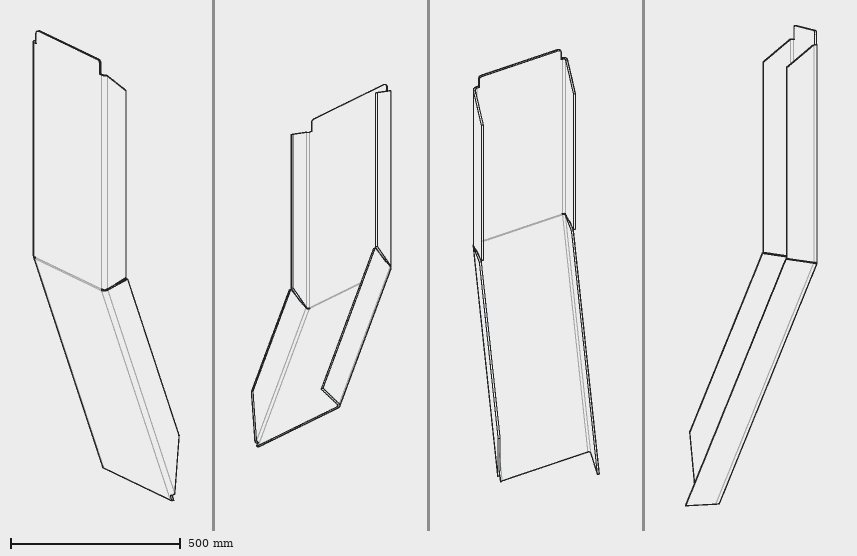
import cadquery as cq
import math


THICKNESS = 6.0
BEND_RADIUS = 13.0
WIDTH = 289.2
FLANGE_HEIGHT = 95.0

SKEW_ANGLE = 9.6
FOLD_ANGLE = 22.75

UPPER_LENGTH = 704.0
TAB_HEIGHT = 42.0
TAB_SETBACK_LEFT = 17.0
TAB_SETBACK_RIGHT = 20.0
TAB_CORNER_RADIUS = 10.0
UPPER_TRIM_ANGLE = 38.0

LOWER_LENGTH = 772.2
RIGHT_NOTCH_HEIGHT = 20.0
RIGHT_NOTCH_WIDTH = 8.0
RIGHT_TRIM_ANGLE = 62.5

REACH = 2000.0

SKEW = math.radians(SKEW_ANGLE)
FOLD = math.radians(FOLD_ANGLE)
INNER_RADIUS = BEND_RADIUS - THICKNESS
FOLD_SETBACK = BEND_RADIUS * math.tan(FOLD / 2)
FLAT_WEB_WIDTH = WIDTH - 2 * BEND_RADIUS
FOLD_AXIS = (math.cos(SKEW), 0, -math.sin(SKEW))
FOLD_PLANE = cq.Plane(origin=(0, 0, 0), xDir=(0, 1, 0), normal=FOLD_AXIS)
END_PLANE = cq.Plane(origin=(0, 0, -LOWER_LENGTH), xDir=(0, 1, 0), normal=FOLD_AXIS)


def drop(x):
    """Fall of a web end at distance x from the left edge."""
    return x * math.tan(SKEW)


def slope(run, angle_degrees):
    """Rise over a run at the given angle."""
    return run * math.tan(math.radians(angle_degrees))


def long_prism(plane, points):
    """Prism square to the plane, reaching far past both sides of the part."""
    return cq.Workplane(plane).polyline(points).close().extrude(REACH, both=True)


def across_x(points, x_start, x_end):
    """Prism along X from an outline of (y, z) points."""
    section = cq.Workplane("YZ").workplane(offset=x_start).polyline(points).close()
    return section.extrude(x_end - x_start)


def rounded_core(width, web_offset, radius):
    """Solid block filling a channel, rounded where the web turns into the flanges."""
    depth = FLANGE_HEIGHT - web_offset
    block = cq.Workplane("XY").box(width, depth, 2 * REACH, centered=(True, False, True))
    return block.edges("|Z and <Y").fillet(radius).translate((WIDTH / 2, web_offset, 0))


def long_channel():
    outer = rounded_core(WIDTH, 0, BEND_RADIUS)
    return outer.cut(rounded_core(WIDTH - 2 * THICKNESS, THICKNESS, INNER_RADIUS))


def leg_blank(channel, side):
    """Half of the channel: side is +1 above the fold and -1 below it.

    The web stops at the fold bend and the flange ends run parallel to the mitre.
    """
    flange_end = FOLD_SETBACK + (REACH - THICKNESS) * math.tan(FOLD / 2)
    keep = [
        (-REACH, side * FOLD_SETBACK),
        (THICKNESS, side * FOLD_SETBACK),
        (REACH, side * flange_end),
        (REACH, side * REACH),
        (-REACH, side * REACH),
    ]
    return channel.intersect(long_prism(FOLD_PLANE, keep))


def upper_leg(channel):
    """Upper leg with a rounded tab on its web and sloped flange tops."""
    leg = leg_blank(channel, 1)
    left = TAB_SETBACK_LEFT
    right = WIDTH - TAB_SETBACK_RIGHT
    tab_top = [
        (left, UPPER_LENGTH - drop(left)),
        (right, UPPER_LENGTH - drop(right)),
    ]
    tab = long_prism("XZ", [(left, -REACH)] + tab_top + [(right, -REACH)])
    for x, z in tab_top:
        tab = tab.edges(cq.selectors.NearestToPointSelector((x, 0, z))).fillet(TAB_CORNER_RADIUS)

    shoulder = UPPER_LENGTH - TAB_HEIGHT
    right_shoulder = shoulder - drop(WIDTH)
    web_body = long_prism("XZ", [
        (0, -REACH), (0, shoulder), (WIDTH, right_shoulder), (WIDTH, -REACH),
    ])
    leg = leg.intersect(tab.union(web_body))

    trim_fall = slope(FLANGE_HEIGHT - BEND_RADIUS, UPPER_TRIM_ANGLE)
    for x_start, x_end, z in (
        (0, WIDTH / 2, shoulder),
        (WIDTH / 2, WIDTH, right_shoulder),
    ):
        trim = [
            (BEND_RADIUS, z),
            (FLANGE_HEIGHT, z - trim_fall),
            (FLANGE_HEIGHT, REACH),
            (BEND_RADIUS, REACH),
        ]
        leg = leg.cut(across_x(trim, x_start, x_end))
    return leg


def lower_leg(channel):
    """Lower leg in line with the upper one, then turned back about the fold."""
    leg = leg_blank(channel, -1)

    lean = slope(REACH, FOLD_ANGLE)
    leg = leg.intersect(long_prism(END_PLANE, [
        (-REACH, REACH), (-REACH, 0), (0, 0), (REACH, -lean), (REACH, REACH),
    ]))

    notch_z = -LOWER_LENGTH - drop(WIDTH) + RIGHT_NOTCH_HEIGHT
    trim_rise = slope(FLANGE_HEIGHT - BEND_RADIUS, RIGHT_TRIM_ANGLE)
    trim = [
        (0, -REACH),
        (0, notch_z),
        (BEND_RADIUS, notch_z),
        (FLANGE_HEIGHT, notch_z + trim_rise),
        (FLANGE_HEIGHT, -REACH),
    ]
    leg = leg.cut(across_x(trim, WIDTH - RIGHT_NOTCH_WIDTH, WIDTH))
    return leg.rotate((0, 0, 0), FOLD_AXIS, FOLD_ANGLE)


def fold_bend():
    """Curved strip of web joining the two legs."""
    def arc_point(radius, angle):
        return (
            BEND_RADIUS - radius * math.cos(angle),
            FOLD_SETBACK - radius * math.sin(angle),
        )

    strip = (
        cq.Workplane(FOLD_PLANE)
        .workplane(offset=BEND_RADIUS / math.cos(SKEW))
        .moveTo(*arc_point(BEND_RADIUS, 0))
        .threePointArc(arc_point(BEND_RADIUS, FOLD / 2), arc_point(BEND_RADIUS, FOLD))
        .lineTo(*arc_point(INNER_RADIUS, FOLD))
        .threePointArc(arc_point(INNER_RADIUS, FOLD / 2), arc_point(INNER_RADIUS, 0))
        .close()
    )
    return strip.extrude(FLAT_WEB_WIDTH / math.cos(SKEW))


channel_stock = long_channel()
result = upper_leg(channel_stock).union(fold_bend()).union(lower_leg(channel_stock))